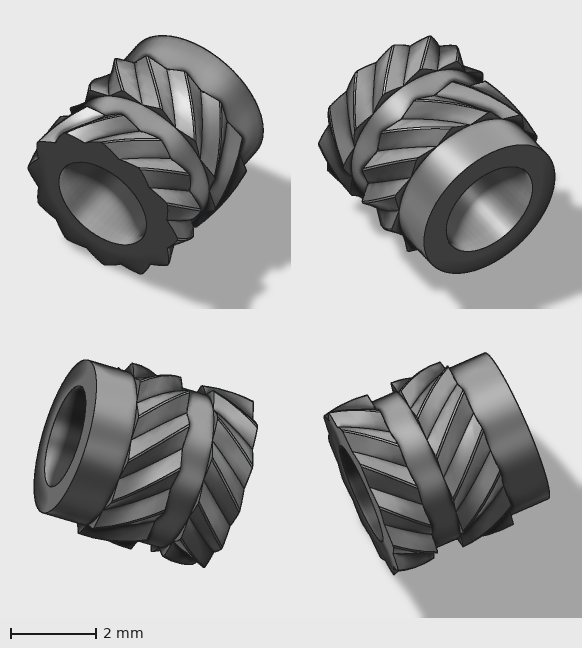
import cadquery as cq
import math


total_length = 4.0
body_diameter = 3.735
bore_diameter = 2.46

knurl_radius = 2.095
root_radius = body_diameter / 2
front_band_end = 1.015
rear_band_start = 1.7
rear_band_end = 2.975

tooth_count = 12
crest_angle = 2.0
helix_angle = 45.0
front_flank_bulge = 0.015
rear_flank_bulge = 0
front_tooth_angle = 90.8
rear_tooth_angle = 75.4

clockwise = 1
counterclockwise = -1

tooth_pitch = 360.0 / tooth_count


def polar(radius, angle):
    """Point at the given radius and angle in degrees."""
    return (radius * math.cos(math.radians(angle)), radius * math.sin(math.radians(angle)))


def sleeve_section(start, end):
    """Plain cylinder between two places along Y."""
    return cq.Workplane("XZ", origin=(0, end, 0)).circle(body_diameter / 2).extrude(end - start)


def add_flank(outline, start, end, bulge):
    """Add a tooth flank, bulging away from the axis by the given height; zero gives a straight flank."""
    if bulge == 0:
        return outline.lineTo(*end)
    middle = cq.Vector((start[0] + end[0]) / 2, (start[1] + end[1]) / 2)
    chord = cq.Vector(end[0] - start[0], end[1] - start[1])
    outward = cq.Vector(chord.y, -chord.x).normalized()
    peak = middle + outward * bulge
    return outline.threePointArc((peak.x, peak.y), end)


def knurled_band(start, end, tooth_angle, hand, flank_bulge):
    """Helical toothed band; hand is the way the teeth turn, tooth_angle one crest at its start."""
    width = end - start
    twist = hand * math.degrees(width * math.tan(math.radians(helix_angle)) / knurl_radius)
    crest = tooth_angle - twist
    outline = cq.Workplane("XZ", origin=(0, end, 0))
    outline = outline.moveTo(*polar(root_radius, crest - tooth_pitch / 2))
    for tooth in range(tooth_count):
        centre = crest + tooth * tooth_pitch
        valley_before = polar(root_radius, centre - tooth_pitch / 2)
        valley_after = polar(root_radius, centre + tooth_pitch / 2)
        crest_start = polar(knurl_radius, centre - crest_angle / 2)
        crest_end = polar(knurl_radius, centre + crest_angle / 2)
        outline = add_flank(outline, valley_before, crest_start, flank_bulge)
        outline = outline.threePointArc(polar(knurl_radius, centre), crest_end)
        outline = add_flank(outline, crest_end, valley_after, flank_bulge)
    return outline.close().twistExtrude(width, twist)


front_band = knurled_band(0, front_band_end, front_tooth_angle, clockwise, front_flank_bulge)
neck = sleeve_section(front_band_end, rear_band_start)
rear_band = knurled_band(
    rear_band_start, rear_band_end, rear_tooth_angle, counterclockwise, rear_flank_bulge
)
rear_sleeve = sleeve_section(rear_band_end, total_length)
bore = cq.Workplane("XZ").circle(bore_diameter / 2).extrude(-total_length)

result = front_band.union(neck).union(rear_band).union(rear_sleeve).cut(bore)